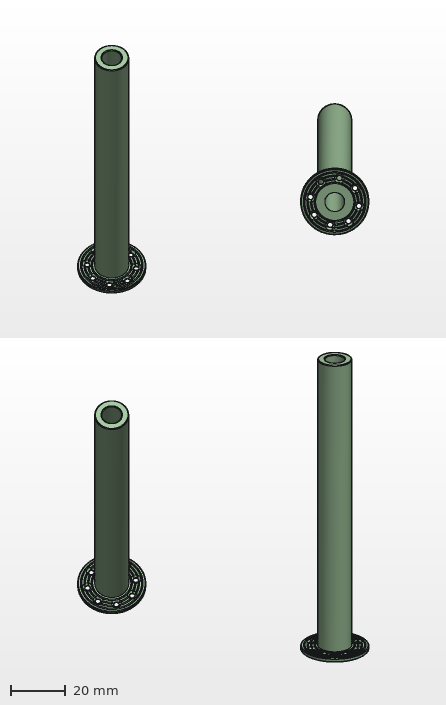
import cadquery as cq
import math

total_height = 115.62
flange_diameter = 25.0
flange_thickness = 1.56
tube_diameter = 12.5
bore_diameter = 7.2
edge_chamfer = 0.3

groove_count = 4
groove_pitch = 1.31
groove_depth = 0.5
groove_angle = 60.0
outer_groove_radius = 11.2

hole_count = 8
hole_diameter = 2.0
hole_circle_diameter = 18.0
countersink_diameter = 3.6
countersink_depth = 0.6


def make_flange():
    """Disc with both rim edges chamfered."""
    disc = cq.Workplane("XY").circle(flange_diameter / 2).extrude(flange_thickness)
    return disc.edges().chamfer(edge_chamfer)


def make_hole_cutter():
    """Cutter for one flange hole, on the Z axis, with a cone at each end."""
    hole_radius = hole_diameter / 2
    countersink_radius = countersink_diameter / 2
    return (
        cq.Workplane("XZ")
        .lineTo(countersink_radius, 0)
        .lineTo(hole_radius, countersink_depth)
        .lineTo(hole_radius, flange_thickness - countersink_depth)
        .lineTo(countersink_radius, flange_thickness)
        .lineTo(0, flange_thickness)
        .close()
        .revolve(360, (0, 0, 0), (0, 1, 0))
    )


def make_groove_cutter(mid_radius):
    """Ring cutter for one V-groove, open at the top of the flange."""
    half_width = groove_depth * math.tan(math.radians(groove_angle / 2))
    return (
        cq.Workplane("XZ")
        .moveTo(mid_radius - half_width, flange_thickness)
        .lineTo(mid_radius, flange_thickness - groove_depth)
        .lineTo(mid_radius + half_width, flange_thickness)
        .close()
        .revolve(360, (0, 0, 0), (0, 1, 0))
    )


def make_tube():
    """Solid cylinder along the whole height, chamfered at its upper end."""
    tube = cq.Workplane("XY").circle(tube_diameter / 2).extrude(total_height)
    return tube.faces(">Z").edges().chamfer(edge_chamfer)


def cut_bore(body):
    """Through bore with a chamfered mouth at the top of the tube."""
    bore = cq.Workplane("XY").circle(bore_diameter / 2).extrude(total_height)
    body = body.cut(bore)
    mouth = cq.selectors.RadiusNthSelector(0)
    return body.faces(">Z").edges(mouth).chamfer(edge_chamfer)


flange = make_flange()

for index in range(groove_count):
    upper_groove = make_groove_cutter(outer_groove_radius - index * groove_pitch)
    lower_groove = upper_groove.mirror("XY", (0, 0, flange_thickness / 2))
    flange = flange.cut(upper_groove).cut(lower_groove)

hole_cutter = make_hole_cutter().translate((hole_circle_diameter / 2, 0, 0))
for index in range(hole_count):
    turn = index * 360 / hole_count
    flange = flange.cut(hole_cutter.rotate((0, 0, 0), (0, 0, 1), turn))

result = cut_bore(flange.union(make_tube()))